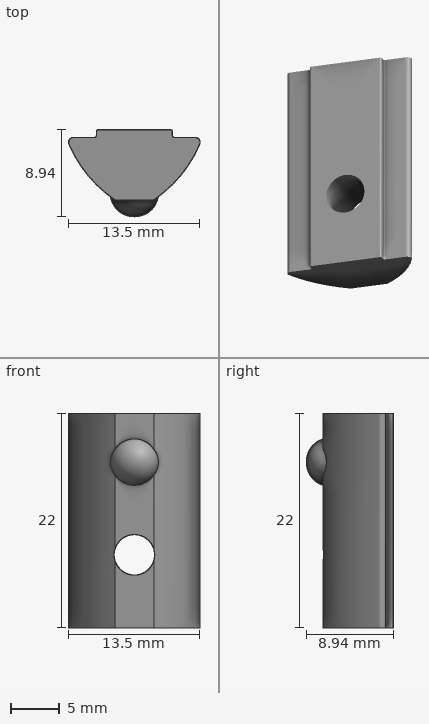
import cadquery as cq
import math

length = 22.0
width = 13.5
body_depth = 7.2
front_flat_width = 4.0

tongue_width = 7.8
tongue_height = 0.8
tongue_radius = 0.2

wing_radius = 0.5
flank_radius = 13.0

hole_diameter = 4.134
hole_z = 7.5

ball_radius = 2.5
ball_protrusion = 1.74
ball_z = 17.0

half_width = width / 2
half_flat = front_flat_width / 2
half_tongue = tongue_width / 2
shoulder_y = -tongue_height
front_y = -body_depth


def flank_center(wing_x, wing_y):
    """Centre of the right flank's arc, which passes through the edge of the
    front flat and touches the wing's edge circle internally."""
    to_flat = flank_radius
    to_wing = flank_radius - wing_radius
    dx = wing_x - half_flat
    dy = wing_y - front_y
    gap = math.hypot(dx, dy)
    along = (to_flat**2 - to_wing**2 + gap**2) / (2 * gap)
    across = math.sqrt(to_flat**2 - along**2)
    x = half_flat + (along * dx - across * dy) / gap
    y = front_y + (along * dy + across * dx) / gap
    return x, y


def half_profile():
    """Right half of the cross-section, closed along x = 0."""
    wing_x = half_width - wing_radius
    wing_y = shoulder_y - wing_radius
    center_x, center_y = flank_center(wing_x, wing_y)

    tangent_angle = math.atan2(wing_y - center_y, wing_x - center_x)
    tangent_point = (
        wing_x + wing_radius * math.cos(tangent_angle),
        wing_y + wing_radius * math.sin(tangent_angle),
    )
    flat_angle = math.atan2(front_y - center_y, half_flat - center_x)
    middle_angle = (tangent_angle + flat_angle) / 2
    flank_middle = (
        center_x + flank_radius * math.cos(middle_angle),
        center_y + flank_radius * math.sin(middle_angle),
    )
    return (
        cq.Workplane("XY")
        .moveTo(0, 0)
        .lineTo(half_tongue - tongue_radius, 0)
        .radiusArc((half_tongue, -tongue_radius), tongue_radius)
        .lineTo(half_tongue, shoulder_y + tongue_radius)
        .radiusArc((half_tongue + tongue_radius, shoulder_y), -tongue_radius)
        .lineTo(wing_x, shoulder_y)
        .threePointArc((half_width, wing_y), tangent_point)
        .threePointArc(flank_middle, (half_flat, front_y))
        .lineTo(0, front_y)
        .close()
    )


def make_body():
    right_half = half_profile().extrude(length)
    return right_half.union(right_half.mirror("YZ")).clean()


def make_hole():
    """Cutter along Y through the whole depth of the body."""
    return (
        cq.Workplane("XZ")
        .center(0, hole_z)
        .circle(hole_diameter / 2)
        .extrude(body_depth)
    )


def make_ball():
    center_y = front_y - ball_protrusion + ball_radius
    return cq.Workplane("XY").sphere(ball_radius).translate((0, center_y, ball_z))


result = make_body().cut(make_hole()).union(make_ball())